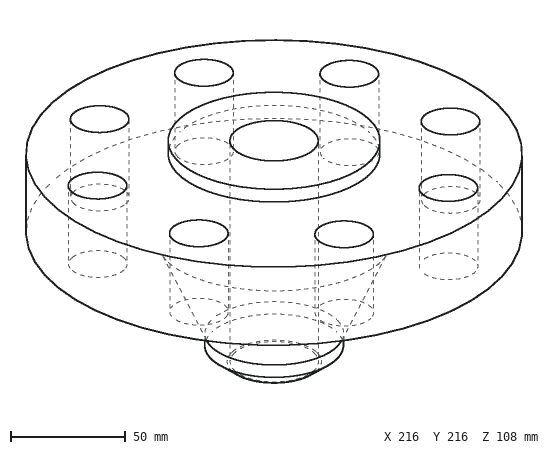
import cadquery as cq

flange_diameter = 216.0
flange_thickness = 38.2
face_diameter = 92.2
face_height = 6.3
overall_height = 108.0
bore_diameter = 38.5

bolt_count = 8
bolt_circle_diameter = 165.2
bolt_hole_diameter = 25.5

hub_base_diameter = 105.1
hub_fillet_radius = 8.6
weld_end_diameter = 60.5
weld_land_height = 6.0
bevel_tip_diameter = 41.0
bevel_height = 7.8

land_top = bevel_height + weld_land_height
flange_top = overall_height - face_height
flange_bottom = flange_top - flange_thickness


def make_body():
    """Revolve the half section of the flange about the Z axis."""
    profile = (
        cq.Workplane("XZ")
        .moveTo(0, 0)
        .lineTo(bevel_tip_diameter / 2, 0)
        .lineTo(weld_end_diameter / 2, bevel_height)
        .lineTo(weld_end_diameter / 2, land_top)
        .lineTo(hub_base_diameter / 2, flange_bottom)
        .lineTo(flange_diameter / 2, flange_bottom)
        .lineTo(flange_diameter / 2, flange_top)
        .lineTo(face_diameter / 2, flange_top)
        .lineTo(face_diameter / 2, overall_height)
        .lineTo(0, overall_height)
        .close()
    )
    return profile.revolve(360, (0, 0, 0), (0, 1, 0))


def blend_hub(body):
    """Round the inside corner where the hub meets the underside of the flange."""
    half_box = (hub_base_diameter + flange_diameter) / 4
    around_corner = cq.selectors.BoxSelector(
        (-half_box, -half_box, flange_bottom - hub_fillet_radius),
        (half_box, half_box, flange_bottom + hub_fillet_radius),
        boundingbox=True,
    )
    return body.edges("%CIRCLE").edges(around_corner).fillet(hub_fillet_radius)


def make_holes():
    """Central bore and the bolt holes, all through the full height."""
    bore = cq.Workplane("XY").circle(bore_diameter / 2).extrude(overall_height)
    bolts = (
        cq.Workplane("XY")
        .polarArray(bolt_circle_diameter / 2, 0, 360, bolt_count)
        .circle(bolt_hole_diameter / 2)
        .extrude(overall_height)
    )
    return bore.union(bolts)


result = blend_hub(make_body()).cut(make_holes())